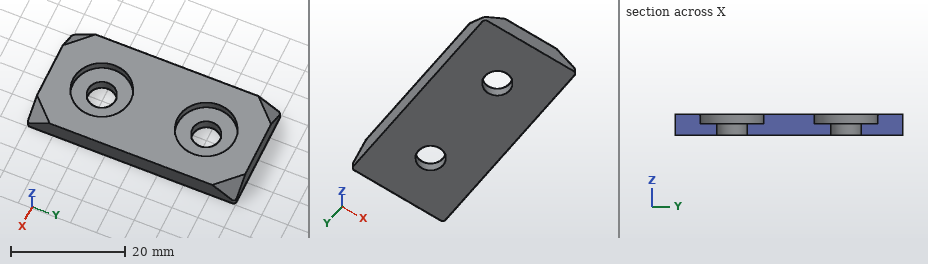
import cadquery as cq

width = 19.9
length = 39.9
thickness = 3.7
corner_radius = 0.65

corner_leg = 4.4
corner_drop = 2.95

hole_diameter = 5.3
counterbore_diameter = 11.0
counterbore_depth = 1.65
hole_spacing = 20.0


def corner_wedge(x_sign, y_sign):
    """Tetrahedron removed from one top corner of the plate."""
    x_corner = x_sign * width / 2
    y_corner = y_sign * length / 2
    corner = cq.Vector(x_corner, y_corner, thickness)
    along_x = cq.Vector(-x_sign * corner_leg, 0, 0)
    along_y = cq.Vector(0, -y_sign * corner_leg, 0)
    down = cq.Vector(0, 0, -corner_drop)
    points = [corner, corner + along_x, corner + along_y, corner + down]
    triangles = [(0, 1, 2), (0, 1, 3), (0, 2, 3), (1, 2, 3)]
    faces = [
        cq.Face.makeFromWires(cq.Wire.makePolygon([points[i] for i in t], close=True))
        for t in triangles
    ]
    return cq.Solid.makeSolid(cq.Shell.makeShell(faces))


plate = (
    cq.Workplane("XY")
    .box(width, length, thickness, centered=(True, True, False))
    .edges("|Z")
    .fillet(corner_radius)
)

for x_sign in (-1, 1):
    for y_sign in (-1, 1):
        plate = plate.cut(cq.Workplane(obj=corner_wedge(x_sign, y_sign)))

result = (
    plate.faces(">Z")
    .workplane(origin=(0, 0, thickness))
    .pushPoints([(0, -hole_spacing / 2), (0, hole_spacing / 2)])
    .cboreHole(hole_diameter, counterbore_diameter, counterbore_depth)
)